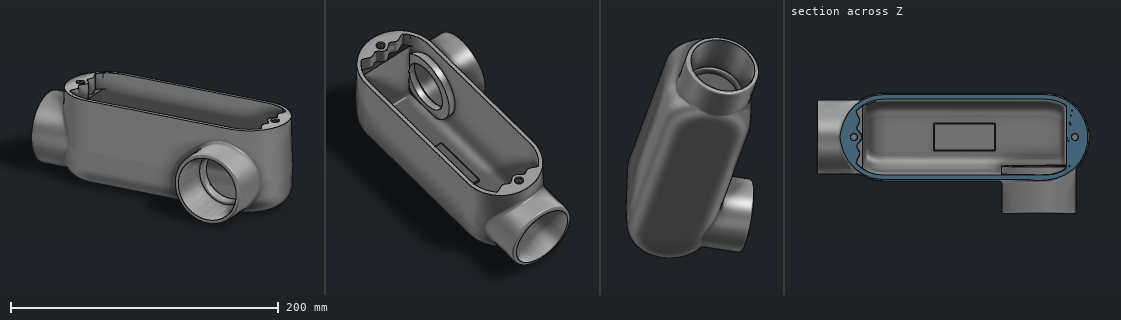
import cadquery as cq
import math

overall_length = 203.1
overall_width = 90.0
body_height = 69.9
body_width = 65.6
body_half_width = body_width / 2
hub_face_x = -109.9
hub_face_y = body_half_width - overall_width
tolerance = 0.02
upper_draft = 1.7
lower_draft = 2.5

arc_center_x = overall_length + hub_face_x - body_half_width
parting_z = 29.5
bottom_round = 15.0

rim_half_width = 28.5
floor_z = 3.0
cavity_draft = 1.5
floor_round = 12.5
end_wall_x = 76.2
end_round = 3.3

lug_height = 12.5
ledge_z = body_height - lug_height
scallop_half_width = 23.5
scallop_curve = [(80.5, 18.0), (78.2, 11.5), (80.2, 6.7), (77.4, 2.6), (76.4, 0)]
screw_x = 82.5
screw_diameter = 5.0
screw_mouth_diameter = 6.7
screw_depth = 12.2

hub_diameter = 55.7
side_hub_x = 55.7
side_tube_y = -21.0
hub_root_round = 2.6
hub_lip_round = 1.6
mouth_diameter = 49.0
seat_diameter = 44.7
throat_diameter = 39.6
socket_depth = 29.5
throat_round = 1.8

pad_length = 46.3
pad_width = 21.1
pad_height = 1.0
pad_bevel = 0.8
pad_corner_round = 1.5


def slot(half_width, z, height, taper, center_x=arc_center_x):
    """Round-ended prism around two arc centres, narrowing along its extrusion."""
    return (
        cq.Workplane("XY", origin=(0, 0, z))
        .slot2D(2 * (center_x + half_width), 2 * half_width)
        .extrude(height, taper=taper)
    )


def outer_body():
    upper = slot(body_half_width, parting_z, body_height - parting_z, upper_draft)
    lower = slot(body_half_width, parting_z, -parting_z, lower_draft)
    lower = lower.faces("<Z").edges().fillet(bottom_round)
    return upper.union(lower)


def cylinder(plane, diameter, length):
    return cq.Workplane(plane).circle(diameter / 2).extrude(length)


end_hub_plane = cq.Plane((hub_face_x, 0, parting_z), xDir=(0, 0, 1), normal=(1, 0, 0))
side_hub_plane = cq.Plane((side_hub_x, hub_face_y, parting_z), xDir=(0, 0, 1), normal=(0, 1, 0))
end_hub_length = -end_wall_x - hub_face_x
side_hub_length = side_tube_y - hub_face_y


def add_hub(body, plane, length):
    """Join a hub to the body, with a rounded root."""

    def is_root_edge(edge):
        middle = plane.toLocalCoords(edge.positionAt(0.5))
        on_hub_surface = abs(math.hypot(middle.x, middle.y) - hub_diameter / 2) < tolerance
        return on_hub_surface and middle.z > hub_lip_round and edge.geomType() != "LINE"

    joined = body.union(cylinder(plane, hub_diameter, length))
    return joined.edges().filter(is_root_edge).fillet(hub_root_round)


def pocket(center_x):
    """Drafted slot down to the floor, with a rounded floor edge."""
    depth = body_height - floor_z
    drafted = slot(rim_half_width, body_height, -depth, cavity_draft, center_x)
    return drafted.faces("<Z").edges().fillet(floor_round)


def cavity():
    """Slot-shaped pocket with flat end walls below the lugs and scallops between them."""

    def is_below_ledge(edge):
        return edge.Center().z < ledge_z - tolerance

    main_pocket = pocket(arc_center_x)
    lower = main_pocket.intersect(end_walls())
    lower = lower.faces("<X or >X").edges().filter(is_below_ledge).fillet(end_round)
    upper = main_pocket.intersect(scallops())
    return lower.union(side_hub_corner()).union(upper).cut(side_tube())


def side_hub_corner():
    """Cavity corner behind the side hub, where the floor round runs straight to the end wall."""
    corner = (
        cq.Workplane("XY")
        .box(end_wall_x, -side_tube_y, ledge_z, centered=False)
        .translate((0, side_tube_y, 0))
    )
    straight_pocket = pocket(2 * arc_center_x).intersect(end_walls())
    rounded = straight_pocket.faces(">X").edges("not >Z").fillet(end_round)
    return rounded.intersect(corner)


def side_tube():
    """Inner stub of the side hub, its end face leaning back with the cavity draft."""
    lean = body_height * math.tan(math.radians(cavity_draft))
    stub_end = (
        cq.Workplane("YZ")
        .moveTo(hub_face_y, 0)
        .lineTo(side_tube_y, 0)
        .lineTo(side_tube_y - lean, body_height)
        .lineTo(hub_face_y, body_height)
        .close()
        .extrude(2 * side_hub_x)
    )
    return cylinder(side_hub_plane, hub_diameter, side_hub_length).intersect(stub_end)


def end_walls():
    """Space between the flat, drafted end walls below the lugs."""
    low_x = end_wall_x - (ledge_z - floor_z) * math.tan(math.radians(cavity_draft))
    return (
        cq.Workplane("XZ")
        .moveTo(-low_x, floor_z)
        .lineTo(low_x, floor_z)
        .lineTo(end_wall_x, ledge_z)
        .lineTo(-end_wall_x, ledge_z)
        .close()
        .extrude(rim_half_width, both=True)
    )


def scallops():
    """Space between the wavy inner faces of the two cover lugs."""
    half = [(end_wall_x, scallop_half_width)] + scallop_curve
    right = half + [(x, -y) for x, y in reversed(half[:-1])]
    left = [(-x, -y) for x, y in right]
    return (
        cq.Workplane("XY", origin=(0, 0, ledge_z))
        .moveTo(-end_wall_x, rim_half_width)
        .lineTo(end_wall_x, rim_half_width)
        .lineTo(*right[0])
        .spline(right[1:], includeCurrent=True)
        .lineTo(end_wall_x, -rim_half_width)
        .lineTo(-end_wall_x, -rim_half_width)
        .lineTo(*left[0])
        .spline(left[1:], includeCurrent=True)
        .close()
        .extrude(lug_height)
    )


def hub_bore(plane, length):
    """Tapered socket, then a rounded shoulder into the throat."""
    mouth_r = mouth_diameter / 2
    seat_r = seat_diameter / 2
    throat_r = throat_diameter / 2
    sagitta = throat_round * (1 - math.sqrt(0.5))
    return (
        cq.Workplane(cq.Plane(plane.origin, xDir=plane.xDir, normal=plane.xDir.cross(plane.zDir)))
        .lineTo(mouth_r, 0)
        .lineTo(seat_r, socket_depth)
        .lineTo(throat_r + throat_round, socket_depth)
        .threePointArc(
            (throat_r + sagitta, socket_depth + sagitta),
            (throat_r, socket_depth + throat_round),
        )
        .lineTo(throat_r, length)
        .lineTo(0, length)
        .close()
        .revolve(360, (0, 0, 0), (0, 1, 0))
    )


def floor_pad():
    """Raised label pad in the middle of the floor, with bevelled sides."""
    return (
        cq.Workplane("XY", origin=(0, 0, floor_z))
        .rect(pad_length, pad_width)
        .extrude(pad_height)
        .edges("|Z")
        .fillet(pad_corner_round)
        .faces(">Z")
        .edges()
        .chamfer(pad_bevel)
    )


def screw_holes():
    """Blind screw holes in the lugs, with bevelled mouths."""
    mouth_bevel = (screw_mouth_diameter - screw_diameter) / 2
    centers = (
        cq.Workplane("XY", origin=(0, 0, body_height))
        .pushPoints([(-screw_x, 0), (screw_x, 0)])
    )
    holes = centers.circle(screw_diameter / 2).extrude(-screw_depth)
    mouths = (
        cq.Workplane("XY", origin=(0, 0, body_height))
        .pushPoints([(-screw_x, 0), (screw_x, 0)])
        .circle(screw_mouth_diameter / 2)
        .extrude(-mouth_bevel, taper=45)
    )
    return holes.union(mouths)


shell = add_hub(outer_body(), end_hub_plane, end_hub_length)
shell = add_hub(shell, side_hub_plane, side_hub_length)
shell = shell.faces("<X or <Y").edges().fillet(hub_lip_round)

result = (
    shell.cut(cavity())
    .cut(hub_bore(end_hub_plane, end_hub_length))
    .cut(hub_bore(side_hub_plane, side_hub_length))
    .cut(screw_holes())
    .union(floor_pad())
)